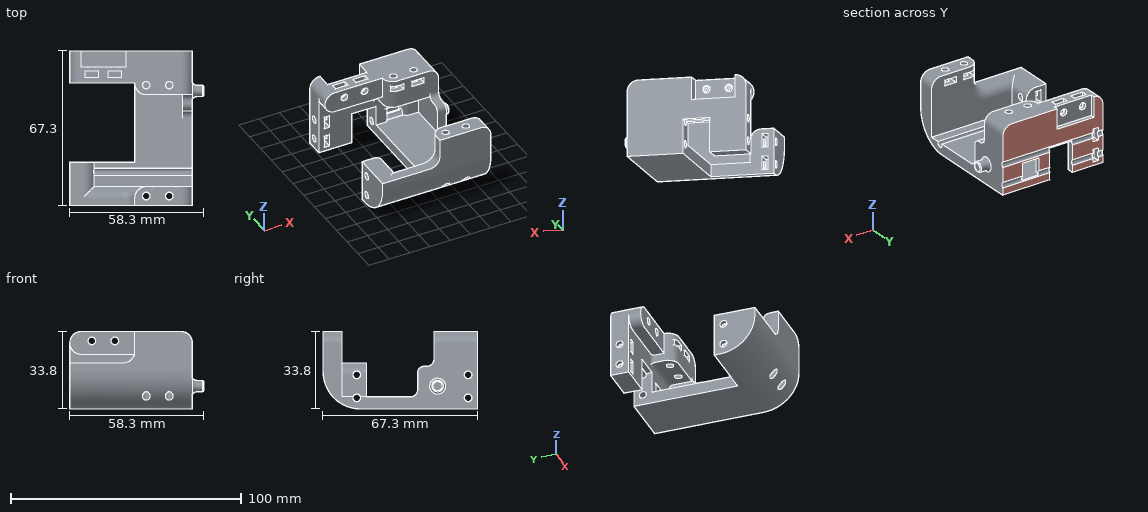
import cadquery as cq
import math

BODY_LENGTH = 53.35
WIDTH = 67.25
HEIGHT = 33.8

BASE_START = 28.25
BASE_HEIGHT = 5.4
RAIL_HEIGHT = 20.1
RAIL_WIDTH = 8.3
FRONT_LEG_LENGTH = 10.6
FRONT_LEG_WIDTH = 18.95
FRONT_CURVE = 16.4
ROUND = 5.0

REAR_THICKNESS = 8.45
REAR_LEG_LENGTH = 16.3
NOTCH_HEIGHT = 15.3
ARM_HEIGHT = 2 * ROUND
ARM_FRONT = 53.2
ARM_BACK = 60.2
BLOCK_FRONT = 48.2
BLOCK_STEP = 24.4
CORNER_FILLET = 1.75

PLATE_THICKNESS = 4.35
PLATE_FRONT = 41.1
PLATE_TOP = 18.7
PLATE_CORNER = 3.0
PLATE_TOP_FLARE = 3.0
PLATE_BASE_FLARE = 3.0

PIN_DIAMETER = 5.0
PIN_LENGTH = 4.95
PIN_Y = 49.85
PIN_Z = 10.0
PIN_FLARE_LENGTH = 2.2
PIN_FLARE_RADIUS = 3.0
PIN_CHAMFER = 0.5

WINDOW_START = 32.5
WINDOW_END = 44.5
WINDOW_DEPTH = 6.5
WINDOW_BOTTOM = 4.0
WINDOW_RISE = 1.5
FLOOR_ROLL_START = 58.2
WINDOW_TOP = 12.4

HOLE_DIAMETER = 3.2
HOLE_PITCH = 10.0
HOLE_INSET = 4.15
END_HOLE_Z = 4.9
FRONT_END_HOLE_Y = 14.7
POST_HOLE_X = 33.25
ARM_HOLE_X = 9.6
NUT_WIDTH = 6.0
NUT_THICKNESS = 2.7
NUT_REACH = 3.0
NUT_X = 2.65
NUT_TOP_OFFSET = 2.65
NUT_ARM_OFFSET = 2.5

REAR_FRONT = WIDTH - REAR_THICKNESS
ARM_BOTTOM = HEIGHT - ARM_HEIGHT
EDGE_MARGIN = 0.1


def box(x0, x1, y0, y1, z0, z1):
    return cq.Workplane("XY").box(x1 - x0, y1 - y0, z1 - z0, centered=False).translate((x0, y0, z0))


def front_bar():
    """Full-length bar whose lower front edge is a quarter circle."""
    return (
        cq.Workplane("YZ")
        .moveTo(0, HEIGHT)
        .lineTo(0, FRONT_CURVE)
        .radiusArc((FRONT_CURVE, 0), -FRONT_CURVE)
        .lineTo(FRONT_LEG_WIDTH, 0)
        .lineTo(FRONT_LEG_WIDTH, HEIGHT)
        .close()
        .extrude(BODY_LENGTH)
    )


def front_rail():
    """Front leg, rail and post with one rounded inner edge running along all three."""
    bar = front_bar()
    over_base = box(FRONT_LEG_LENGTH, BODY_LENGTH, RAIL_WIDTH, FRONT_LEG_WIDTH, BASE_HEIGHT, HEIGHT)
    over_rail = box(0, BASE_START, 0, FRONT_LEG_WIDTH, RAIL_HEIGHT, HEIGHT)
    over_rail = over_rail.edges("|Y and >X and <Z").fillet(ROUND)
    rail = bar.cut(over_base).cut(over_rail)
    leg_edge = cq.selectors.BoxSelector(
        (FRONT_LEG_LENGTH - EDGE_MARGIN, RAIL_WIDTH, RAIL_HEIGHT - EDGE_MARGIN),
        (FRONT_LEG_LENGTH + EDGE_MARGIN, FRONT_LEG_WIDTH, RAIL_HEIGHT + EDGE_MARGIN),
    )
    rail_edges = cq.selectors.BoxSelector(
        (FRONT_LEG_LENGTH, RAIL_WIDTH - EDGE_MARGIN, RAIL_HEIGHT - EDGE_MARGIN),
        (BASE_START + EDGE_MARGIN, RAIL_WIDTH + EDGE_MARGIN, HEIGHT),
    )
    return rail.edges(leg_edge + rail_edges).fillet(ROUND)


def above_base():
    """Space over the back of the base plate, whose top rolls down to the sloping window floor."""
    drop = BASE_HEIGHT - WINDOW_BOTTOM
    roll_length = math.sqrt(ROUND**2 - (ROUND - drop) ** 2)
    return (
        cq.Workplane("YZ")
        .moveTo(FLOOR_ROLL_START, HEIGHT)
        .lineTo(FLOOR_ROLL_START, BASE_HEIGHT)
        .radiusArc((FLOOR_ROLL_START + roll_length, WINDOW_BOTTOM), ROUND)
        .lineTo(WIDTH, WINDOW_BOTTOM + WINDOW_RISE)
        .lineTo(WIDTH, HEIGHT)
        .close()
        .extrude(BODY_LENGTH)
    )


def base_plate():
    return box(BASE_START, BODY_LENGTH, FRONT_CURVE, WIDTH, 0, BASE_HEIGHT).cut(above_base())


def rear_wall():
    """Wall along the back, notched between the rear leg and the base plate."""
    wall = box(0, BODY_LENGTH, REAR_FRONT, WIDTH, 0, ARM_BOTTOM)
    return wall.cut(box(REAR_LEG_LENGTH, BASE_START, REAR_FRONT, WIDTH, 0, NOTCH_HEIGHT))


def rear_arm():
    """Arm with a half-round left end that also caps the rear leg."""
    round_z = HEIGHT - ROUND
    arm = box(ROUND, BASE_START, ARM_FRONT, ARM_BACK, ARM_BOTTOM, HEIGHT)
    leg_top = box(0, ROUND, REAR_FRONT, WIDTH, ARM_BOTTOM, round_z)
    cap = cq.Workplane(
        cq.Solid.makeCylinder(
            ROUND,
            WIDTH - ARM_FRONT,
            cq.Vector(ROUND, ARM_FRONT, round_z),
            cq.Vector(0, 1, 0),
        )
    )
    cap = cap.intersect(box(0, ROUND, ARM_FRONT, WIDTH, ARM_BOTTOM, HEIGHT))
    return arm.union(leg_top).union(cap)


def rear_block():
    block = box(BASE_START, BODY_LENGTH, BLOCK_FRONT, WIDTH, RAIL_HEIGHT, HEIGHT)
    block = block.edges("|Z and <X and <Y").fillet(ROUND)
    return block.union(box(BLOCK_STEP, BASE_START, ARM_BACK, WIDTH, RAIL_HEIGHT, HEIGHT))


def rear_wall_and_block():
    """Wall and block joined by a fillet along the block's left side and underside."""
    rear = rear_wall().union(rear_block())
    joint = cq.selectors.BoxSelector(
        (BASE_START - EDGE_MARGIN, REAR_FRONT - EDGE_MARGIN, RAIL_HEIGHT - EDGE_MARGIN),
        (BODY_LENGTH, REAR_FRONT + EDGE_MARGIN, ARM_BOTTOM),
    )
    return rear.edges(joint).fillet(CORNER_FILLET)


def side_plate():
    """Plate between the base and the rear block, flared into both."""
    flare_start = BLOCK_FRONT - PLATE_TOP_FLARE
    return (
        cq.Workplane("YZ")
        .moveTo(WIDTH, 0)
        .lineTo(PLATE_FRONT - PLATE_BASE_FLARE, 0)
        .lineTo(PLATE_FRONT - PLATE_BASE_FLARE, BASE_HEIGHT)
        .radiusArc((PLATE_FRONT, BASE_HEIGHT + PLATE_BASE_FLARE), -PLATE_BASE_FLARE)
        .lineTo(PLATE_FRONT, PLATE_TOP - PLATE_CORNER)
        .radiusArc((PLATE_FRONT + PLATE_CORNER, PLATE_TOP), PLATE_CORNER)
        .lineTo(flare_start, PLATE_TOP)
        .radiusArc((BLOCK_FRONT, PLATE_TOP + PLATE_TOP_FLARE), -PLATE_TOP_FLARE)
        .lineTo(WIDTH, PLATE_TOP + PLATE_TOP_FLARE)
        .close()
        .extrude(PLATE_THICKNESS)
        .translate((BODY_LENGTH - PLATE_THICKNESS, 0, 0))
    )


def pin():
    """Pin along +X with a flared root and a chamfered tip, turned about its axis."""
    radius = PIN_DIAMETER / 2
    flare = PIN_FLARE_RADIUS - math.sqrt(PIN_FLARE_RADIUS**2 - PIN_FLARE_LENGTH**2)
    return (
        cq.Workplane("XY")
        .moveTo(0, 0)
        .lineTo(0, radius + flare)
        .radiusArc((PIN_FLARE_LENGTH, radius), -PIN_FLARE_RADIUS)
        .lineTo(PIN_LENGTH - PIN_CHAMFER, radius)
        .lineTo(PIN_LENGTH, radius - PIN_CHAMFER)
        .lineTo(PIN_LENGTH, 0)
        .close()
        .revolve(360, (0, 0, 0), (1, 0, 0))
        .translate((BODY_LENGTH, PIN_Y, PIN_Z))
    )


def window():
    """Recess in the rear wall, both sides rounded into the wall face."""
    rounded = REAR_FRONT + CORNER_FILLET
    back = REAR_FRONT + WINDOW_DEPTH
    left = WINDOW_START + CORNER_FILLET
    right = WINDOW_END - CORNER_FILLET
    opening = (
        cq.Workplane("XY")
        .moveTo(WINDOW_START, REAR_FRONT)
        .lineTo(WINDOW_END, REAR_FRONT)
        .radiusArc((right, rounded), CORNER_FILLET)
        .lineTo(right, back)
        .lineTo(left, back)
        .lineTo(left, rounded)
        .radiusArc((WINDOW_START, REAR_FRONT), CORNER_FILLET)
        .close()
        .extrude(WINDOW_TOP)
    )
    return opening.intersect(above_base())


def hole(start, direction, length):
    return cq.Workplane(
        cq.Solid.makeCylinder(HOLE_DIAMETER / 2, length, cq.Vector(*start), cq.Vector(*direction))
    )


def cut_end_holes(part):
    """X holes through both ends, each with a nut slot opening on the inner face of its leg."""
    for z in (END_HOLE_Z, END_HOLE_Z + HOLE_PITCH):
        z0 = z - NUT_WIDTH / 2
        z1 = z + NUT_WIDTH / 2
        for y in (FRONT_END_HOLE_Y, WIDTH - HOLE_INSET):
            part = part.cut(hole((0, y, z), (1, 0, 0), BODY_LENGTH))
        front_y = FRONT_END_HOLE_Y - NUT_REACH
        rear_y = WIDTH - HOLE_INSET + NUT_REACH
        part = part.cut(box(NUT_X, NUT_X + NUT_THICKNESS, front_y, FRONT_LEG_WIDTH, z0, z1))
        part = part.cut(box(NUT_X, NUT_X + NUT_THICKNESS, REAR_FRONT, rear_y, z0, z1))
    return part


def cut_top_holes(part):
    """Z holes through the post and the rear block, with nut slots on their facing sides."""
    slot_top = HEIGHT - NUT_TOP_OFFSET
    slot_bottom = slot_top - NUT_THICKNESS
    rear_hole_y = BLOCK_FRONT + HOLE_INSET
    for x in (POST_HOLE_X, POST_HOLE_X + HOLE_PITCH):
        x0 = x - NUT_WIDTH / 2
        x1 = x + NUT_WIDTH / 2
        part = part.cut(hole((x, HOLE_INSET, 0), (0, 0, 1), HEIGHT))
        part = part.cut(hole((x, rear_hole_y, RAIL_HEIGHT), (0, 0, 1), HEIGHT))
        part = part.cut(box(x0, x1, HOLE_INSET - NUT_REACH, RAIL_WIDTH, slot_bottom, slot_top))
        part = part.cut(box(x0, x1, BLOCK_FRONT, rear_hole_y + NUT_REACH, slot_bottom, slot_top))
    return part


def cut_arm_holes(part):
    """Y holes through the arm, with nut slots opening on its top."""
    slot_front = ARM_FRONT + NUT_ARM_OFFSET
    z = HEIGHT - HOLE_INSET
    for x in (ARM_HOLE_X, ARM_HOLE_X + HOLE_PITCH):
        x0 = x - NUT_WIDTH / 2
        x1 = x + NUT_WIDTH / 2
        part = part.cut(hole((x, ARM_FRONT, z), (0, 1, 0), ARM_BACK - ARM_FRONT))
        part = part.cut(box(x0, x1, slot_front, slot_front + NUT_THICKNESS, z - NUT_REACH, HEIGHT))
    return part


def round_right_end(part):
    """Round the upper right edge of the post and the rear block."""
    axis_x = BODY_LENGTH - ROUND
    axis_z = HEIGHT - ROUND
    corner = box(axis_x, BODY_LENGTH, 0, WIDTH, axis_z, HEIGHT)
    kept = cq.Solid.makeCylinder(ROUND, WIDTH, cq.Vector(axis_x, 0, axis_z), cq.Vector(0, 1, 0))
    return part.cut(corner.cut(cq.Workplane(kept)))


body = front_rail().union(base_plate()).union(rear_wall_and_block()).union(rear_arm())
body = round_right_end(body.union(side_plate()))
body = body.cut(window())
body = cut_arm_holes(cut_top_holes(cut_end_holes(body)))
result = body.union(pin())